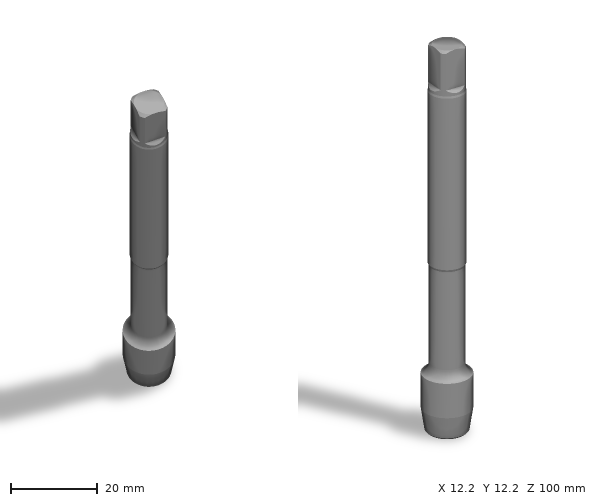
import cadquery as cq
import math

total_height = 100.0
shank_diameter = 9.0
neck_diameter = 8.5
neck_top = 43.0
neck_cone_height = 0.6
shank_top = 88.0
shank_cone_height = 0.5

drive_diameter = 8.7
drive_width = 7.0
drive_flat_bottom = 90.0
drive_tip_diameter = 7.0
drive_tip_height = 0.5

head_diameter = 12.2
head_top = 15.0
head_fillet_radius = 2.8
taper_height = 6.1
taper_end_diameter = 10.5
end_chamfer_height = 0.5
end_chamfer_width = 0.5

shank_radius = shank_diameter / 2
neck_radius = neck_diameter / 2
drive_radius = drive_diameter / 2
head_radius = head_diameter / 2
taper_end_radius = taper_end_diameter / 2

fillet_center_radius = neck_radius + head_fillet_radius
fillet_end_angle = math.acos((fillet_center_radius - head_radius) / head_fillet_radius)
joint_height = head_top + head_fillet_radius * math.sin(fillet_end_angle)


def fillet_point(angle):
    """Point (radius, height) on the concave shoulder, at an angle below the joint."""
    return (
        fillet_center_radius - head_fillet_radius * math.cos(angle),
        joint_height - head_fillet_radius * math.sin(angle),
    )


def revolve_about_z(profile):
    return profile.close().revolve(360, (0, 0, 0), (0, 1, 0))


def make_drive_cutter():
    """Material around the square drive, with 45 degree run-outs below its flats."""
    runout = shank_radius - drive_width / 2
    block_width = 2 * shank_diameter
    cut_bottom = drive_flat_bottom - runout
    block = (
        cq.Workplane("XY", origin=(0, 0, cut_bottom))
        .rect(block_width, block_width)
        .extrude(total_height - cut_bottom)
    )
    square = (
        cq.Workplane("XY", origin=(0, 0, drive_flat_bottom))
        .rect(drive_width, drive_width)
        .extrude(total_height - drive_flat_bottom)
    )
    flared_foot = (
        cq.Workplane("XY", origin=(0, 0, cut_bottom))
        .rect(shank_diameter, shank_diameter)
        .workplane(offset=runout)
        .rect(drive_width, drive_width)
        .loft(ruled=True)
    )
    return block.cut(square).cut(flared_foot)


def make_shank():
    profile = (
        cq.Workplane("XZ")
        .moveTo(0, joint_height)
        .lineTo(neck_radius, joint_height)
        .lineTo(neck_radius, neck_top)
        .lineTo(shank_radius, neck_top + neck_cone_height)
        .lineTo(shank_radius, shank_top)
        .lineTo(drive_radius, shank_top + shank_cone_height)
        .lineTo(drive_radius, total_height - drive_tip_height)
        .lineTo(drive_tip_diameter / 2, total_height)
        .lineTo(0, total_height)
    )
    return revolve_about_z(profile).cut(make_drive_cutter())


def make_head():
    profile = (
        cq.Workplane("XZ")
        .moveTo(0, 0)
        .lineTo(taper_end_radius - end_chamfer_width, 0)
        .lineTo(taper_end_radius, end_chamfer_height)
        .lineTo(head_radius, taper_height)
        .lineTo(head_radius, head_top)
        .threePointArc(fillet_point(fillet_end_angle / 2), fillet_point(0))
        .lineTo(0, joint_height)
    )
    return revolve_about_z(profile)


shank = make_shank()
head = make_head()
result = cq.Compound.makeCompound([shank.val(), head.val()])